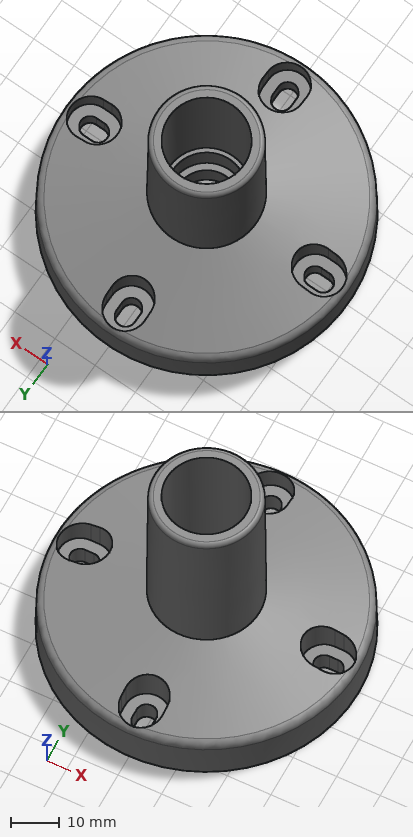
import cadquery as cq

flange_radius = 35.0
rim_top_radius = 34.8
rim_height = 10.1
rim_fillet = 1.9

tube_base_z = 14.6
tube_base_radius = 12.25
tube_top_radius = 12.0
total_height = 51.1
tube_fillet = 1.05

through_diameter = 13.4
step_diameter = 16.45
socket_diameter = 18.4
socket_floor_z = 14.6
step_floor_z = 7.0

slot_count = 4
slot_pitch_radius = 28.0
slot_width = 4.5
slot_stretch = 2.0
counterbore_width = 9.6
counterbore_floor_z = 5.0


def make_body():
    """Revolved flange and tube with rounded outer edges."""
    profile = (
        cq.Workplane("XZ")
        .moveTo(0, 0)
        .lineTo(flange_radius, 0)
        .lineTo(rim_top_radius, rim_height)
        .lineTo(tube_base_radius, tube_base_z)
        .lineTo(tube_top_radius, total_height)
        .lineTo(0, total_height)
        .close()
    )
    body = profile.revolve(360, (0, 0, 0), (0, 1, 0))
    rim_top_edge = cq.selectors.RadiusNthSelector(-2)
    body = body.edges(rim_top_edge).fillet(rim_fillet)
    return body.faces(">Z").edges().fillet(tube_fillet)


def bore(diameter, floor_z):
    """Round cutter from floor_z up through the top of the tube."""
    floor = cq.Workplane("XY").workplane(offset=floor_z)
    return floor.circle(diameter / 2).extrude(total_height - floor_z)


def slots(width, floor_z):
    """Ring of radially stretched slot cutters, open upwards from floor_z."""
    return (
        cq.Workplane("XY")
        .workplane(offset=floor_z)
        .polarArray(slot_pitch_radius, 0, 360, slot_count)
        .slot2D(width + slot_stretch, width)
        .extrude(tube_base_z - floor_z)
    )


result = make_body()
result = result.cut(bore(through_diameter, 0))
result = result.cut(bore(step_diameter, step_floor_z))
result = result.cut(bore(socket_diameter, socket_floor_z))
result = result.cut(slots(slot_width, 0))
result = result.cut(slots(counterbore_width, counterbore_floor_z))